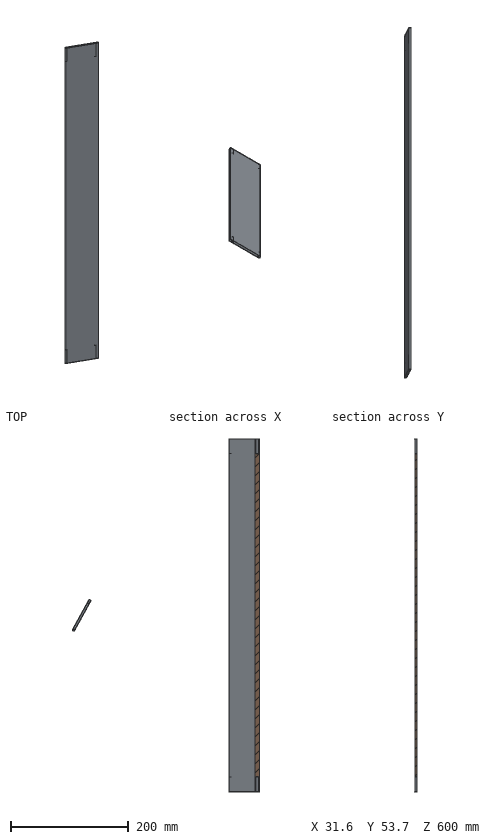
import cadquery as cq

height = 600.0
thickness = 3.9
edge_radius = thickness / 2
round_center_to_square_edge = 58.0
turn_angle = 61.2

hole_diameter = 3.3
hole_depth = 25.0
square_edge_distance = 5.5
hole_positions = [0, round_center_to_square_edge - square_edge_distance]


def make_strip():
    """Extrude the strip, with the axis of its rounded edge on the Z axis."""
    return (
        cq.Workplane("XY")
        .moveTo(0, -edge_radius)
        .lineTo(round_center_to_square_edge, -edge_radius)
        .lineTo(round_center_to_square_edge, edge_radius)
        .lineTo(0, edge_radius)
        .threePointArc((-edge_radius, 0), (0, -edge_radius))
        .close()
        .extrude(height)
    )


def pin_holes(bottom):
    """Cutters for the pair of pin holes in one end, starting at height bottom."""
    return (
        cq.Workplane("XY", origin=(0, 0, bottom))
        .pushPoints([(position, 0) for position in hole_positions])
        .circle(hole_diameter / 2)
        .extrude(hole_depth)
    )


strip = make_strip()
for bottom in (0, height - hole_depth):
    strip = strip.cut(pin_holes(bottom))

result = strip.rotate((0, 0, 0), (0, 0, 1), turn_angle)